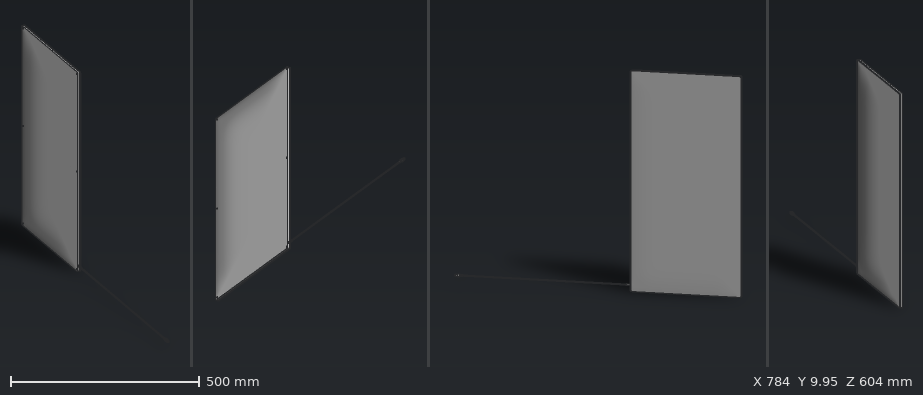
import cadquery as cq

panel_width = 303.5
panel_height = 604.0
overall_length = 784.0
panel_depth = 9.0
collar_protrusion = 0.95
cover_thickness = 2.0
tray_inset_right = 2.0
corner_radius = 4.0
cover_setback = 1.0

screw_diameter = 3.0
screw_inset = 6.7
screw_seat_depth = 1.0

cable_height = 18.0
cable_diameter = 2.75
boot_length = 14.0
boot_diameter = 5.0
boot_overlap = 2.0
sleeve_start = 746.0
sleeve_diameter = 3.0
plug_boot_start = 762.0
plug_boot_diameter = 5.0
plug_shell_start = 771.0
plug_shell_end = 782.0
plug_shell_diameter = 6.0
collar_length = 5.5
collar_diameter = 8.0

tray_depth = panel_depth - cover_thickness
tray_width = panel_width - tray_inset_right
boot_start = tray_width - boot_overlap
cable_y = collar_diameter / 2 - collar_protrusion


def rounded_plate(x_end, y_start, y_end, setback=0):
    """Upright plate with rounded corners, set back from the panel's left, bottom and top edges."""
    return (
        cq.Workplane("XY", origin=(setback, y_start, setback))
        .box(x_end - setback, y_end - y_start, panel_height - 2 * setback, centered=False)
        .edges("|Y")
        .fillet(corner_radius)
    )


def rod(x_start, x_end, diameter):
    """Round length of the cable line between two X positions."""
    return (
        cq.Workplane("YZ", origin=(x_start, cable_y, cable_height))
        .circle(diameter / 2)
        .extrude(x_end - x_start)
    )


tray = rounded_plate(tray_width, 0, tray_depth)
cover = rounded_plate(panel_width, tray_depth, panel_depth, cover_setback)
panel = tray.union(cover)

screw_columns = (screw_inset, panel_width - screw_inset)
screw_rows = (screw_inset, panel_height / 2, panel_height - screw_inset)
screw_points = [(x, z) for x in screw_columns for z in screw_rows]
screw_seats = (
    cq.Workplane("XZ")
    .pushPoints(screw_points)
    .circle(screw_diameter / 2)
    .extrude(-screw_seat_depth)
)
panel = panel.cut(screw_seats)

cable_sections = (
    (boot_start, tray_width + boot_length, boot_diameter),
    (boot_start, sleeve_start, cable_diameter),
    (sleeve_start, plug_boot_start, sleeve_diameter),
    (plug_boot_start, overall_length, plug_boot_diameter),
    (plug_shell_start, plug_shell_end, plug_shell_diameter),
    (plug_shell_start, plug_shell_start + collar_length, collar_diameter),
)

result = panel
for x_start, x_end, diameter in cable_sections:
    result = result.union(rod(x_start, x_end, diameter))